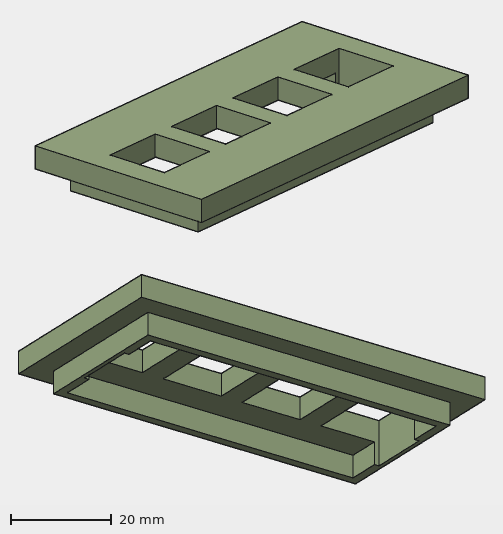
import cadquery as cq

plate_width = 43.0
plate_length = 83.0
plate_thickness = 5.0

rim_inset = 5.0
rim_depth = 5.0
rim_wall = 2.0
rim_width = plate_width - 2 * rim_inset
rim_length = plate_length - 2 * rim_inset

window_size = 14.0
window_pitch = 19.05
window_count = 4


def make_plate():
    """Flat cover plate with its underside on Z = 0."""
    return cq.Workplane("XY").rect(plate_width, plate_length).extrude(plate_thickness)


def make_rim():
    """Rectangular rim hanging from the underside of the plate."""
    outer = cq.Workplane("XY").rect(rim_width, rim_length).extrude(-rim_depth)
    inner_width = rim_width - 2 * rim_wall
    inner_length = rim_length - 2 * rim_wall
    inner = cq.Workplane("XY").rect(inner_width, inner_length).extrude(-rim_depth)
    return outer.cut(inner)


def make_windows():
    """Full-height window cutters; the end ones also notch the rim's end walls."""
    return (
        cq.Workplane("XY")
        .workplane(offset=-rim_depth)
        .rarray(1, window_pitch, 1, window_count)
        .rect(window_size, window_size)
        .extrude(rim_depth + plate_thickness)
    )


result = make_plate().union(make_rim()).cut(make_windows())